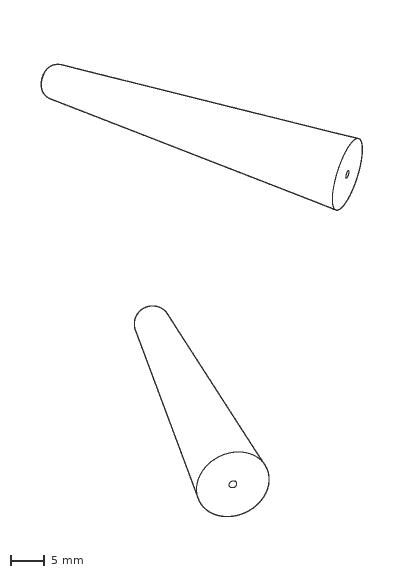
import cadquery as cq
import math

length = 50.0
base_diameter = 11.35
shoulder_diameter = 5.45
nose_length = 1.9
bore_diameter = 1.2

base_radius = base_diameter / 2
shoulder_radius = shoulder_diameter / 2
bore_radius = bore_diameter / 2

nose_height = shoulder_radius - bore_radius
nose_arc_radius = (nose_length**2 + nose_height**2) / (2 * nose_length)

mid_angle = math.asin(nose_height / nose_arc_radius) / 2
arc_mid = (
    nose_arc_radius * (1 - math.cos(mid_angle)),
    bore_radius + nose_arc_radius * math.sin(mid_angle),
)

profile = (
    cq.Workplane("XZ")
    .moveTo(0, bore_radius)
    .threePointArc(arc_mid, (nose_length, shoulder_radius))
    .lineTo(length, base_radius)
    .lineTo(length, bore_radius)
    .close()
)
result = profile.revolve(360, (0, 0, 0), (1, 0, 0))